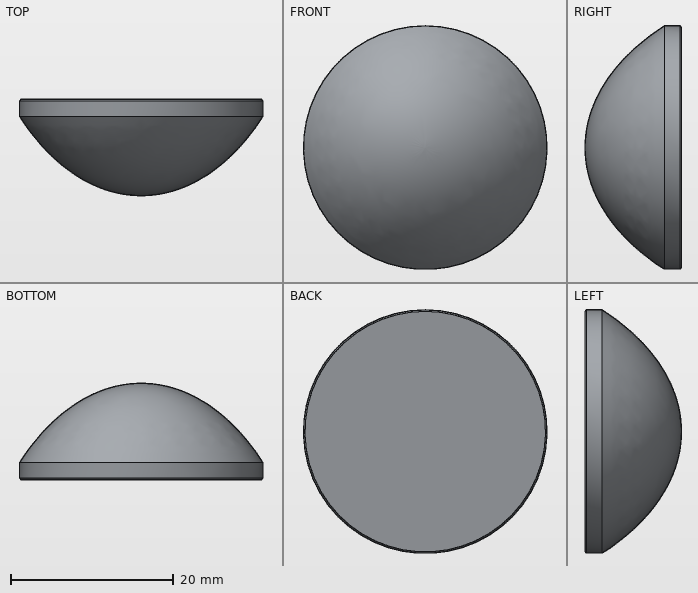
import cadquery as cq
import math

lens_diameter = 30.0
center_thickness = 11.9
vertex_radius = 13.4
conic_constant = -0.61
bevel = 0.2
span_count = 12

lens_radius = lens_diameter / 2


def conic_root(radius):
    """Square-root term shared by the depth and the slope of the conic."""
    return math.sqrt(1 - (1 + conic_constant) * (radius / vertex_radius) ** 2)


def sag(radius):
    """Axial depth of the conic surface behind its apex at a given radius."""
    return radius ** 2 / (vertex_radius * (1 + conic_root(radius)))


def sag_slope(radius):
    """Rate of change of the sag with radius."""
    return radius / (vertex_radius * conic_root(radius))


def lens_profile():
    """Half section in the YZ plane: flat face at Y = 0, apex at Y = -center_thickness."""
    radii = [lens_radius * i / span_count for i in range(span_count + 1)]
    dome_points = [(sag(radius) - center_thickness, radius) for radius in radii]
    apex_tangent = (0, 1)
    rim_tangent = (sag_slope(lens_radius), 1)
    return (
        cq.Workplane("YZ")
        .spline(dome_points, tangents=[apex_tangent, rim_tangent])
        .lineTo(-bevel, lens_radius)
        .lineTo(0, lens_radius - bevel)
        .lineTo(0, 0)
        .close()
    )


result = lens_profile().revolve(360, (0, 0, 0), (1, 0, 0))